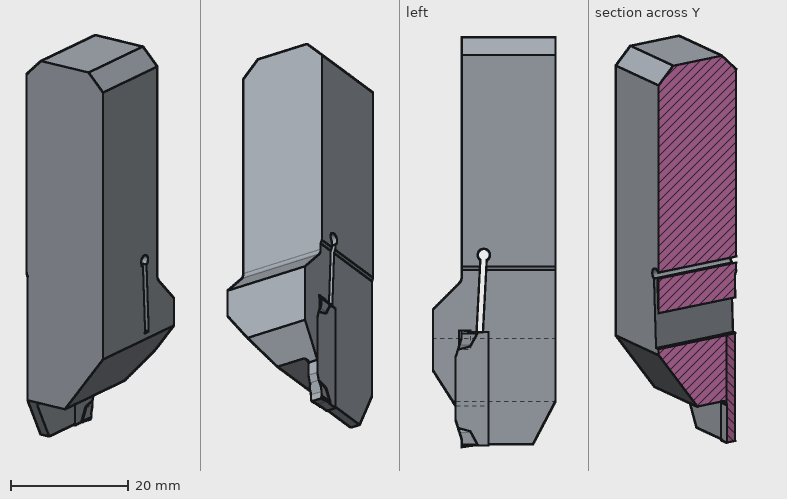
import cadquery as cq
import math

TOTAL_HEIGHT = 70.0
SHANK_SIZE = 16.0
TOP_CHAMFER = 3.0

HEAD_DEPTH = 20.9
SIDE_RELIEF = 0.2
RELIEF_TOP_Z = 30.9
RELIEF_RAMP_HEIGHT = 0.6
BULGE_TOP_Z = 23.5
BULGE_BOTTOM_Z = 13.1
BULGE_FILLET = 1.7
HEAD_BOTTOM_Z = 7.85
HEAD_BOTTOM_WIDTH = 8.05
BEVEL_TOP_Z = 18.55

BLADE_X = 2.0
BLADE_BOTTOM_Z = 0.5
BLADE_TOE_Y = 3.85
BLADE_FILLET = 0.8

SLIT_WIDTH = 1.05
SLIT_TILT = 3.0
SLIT_HOLE_DIAMETER = 2.0
SLIT_HOLE_Y = 12.25
SLIT_HOLE_Z = 32.8

INSERT_LENGTH = 19.95
INSERT_SEAT_Y = 11.4
INSERT_BACK_Y = 17.1
TIP_Y = 16.0
FLANK_START_Y = 14.15
END_INSET = 0.3
RAKE_HEIGHT = 1.3
RAKE_CORNER_Y = 16.65
RAKE_CORNER_Z = 3.3
BACK_CORNER_Z = 4.6
PAD_CORNER_Y = 14.55
PAD_CORNER_Z = 2.7
PAD_START_Y = 13.2
PAD_WIDENING = SIDE_RELIEF
PAD_SIDE_RELIEF = 0.035
PAD_RAMP_START_Z = 2.5
PAD_RAMP_HEIGHT = 0.8
TIP_BEVEL_HEIGHT = 0.5
TIP_GAP_Y = 16.45


def side_prism(points, x_start, x_end):
    """Prism along X with its outline given as (Y, Z) points."""
    outline = cq.Workplane("YZ", origin=(x_start, 0, 0)).polyline(points).close()
    return outline.extrude(x_end - x_start)


def front_prism(points, depth):
    """Prism along +Y from Y = 0 with its outline given as (X, Z) points."""
    return cq.Workplane("XZ").polyline(points).close().extrude(-depth)


def mirror_height(points):
    """Mirror (Y, Z) points about the insert's middle height."""
    return [(y, INSERT_LENGTH - z) for y, z in points]


def bulge_edge_y(z):
    """Y on the slanted lower edge of the bulge, which runs down to the insert's back."""
    lower_z = HEAD_BOTTOM_Z - BLADE_FILLET
    fraction = (z - lower_z) / (BULGE_BOTTOM_Z - lower_z)
    return INSERT_BACK_Y + fraction * (HEAD_DEPTH - INSERT_BACK_Y)


def make_block():
    """Shank and head: intersection of the front outline and the side outline."""
    front = front_prism(
        [
            (SIDE_RELIEF, HEAD_BOTTOM_Z),
            (HEAD_BOTTOM_WIDTH, HEAD_BOTTOM_Z),
            (SHANK_SIZE, BEVEL_TOP_Z),
            (SHANK_SIZE, TOTAL_HEIGHT - TOP_CHAMFER),
            (SHANK_SIZE - TOP_CHAMFER, TOTAL_HEIGHT),
            (TOP_CHAMFER, TOTAL_HEIGHT),
            (0, TOTAL_HEIGHT - TOP_CHAMFER),
            (0, RELIEF_TOP_Z),
            (SIDE_RELIEF, RELIEF_TOP_Z - RELIEF_RAMP_HEIGHT),
        ],
        HEAD_DEPTH,
    )
    run_out_y = bulge_edge_y(HEAD_BOTTOM_Z)
    shoulder_z = BULGE_TOP_Z + HEAD_DEPTH - SHANK_SIZE
    side = side_prism(
        [
            (0, HEAD_BOTTOM_Z),
            (run_out_y, HEAD_BOTTOM_Z),
            (HEAD_DEPTH, BULGE_BOTTOM_Z),
            (HEAD_DEPTH, BULGE_TOP_Z),
            (SHANK_SIZE, shoulder_z),
            (SHANK_SIZE, TOTAL_HEIGHT),
            (0, TOTAL_HEIGHT),
        ],
        0,
        SHANK_SIZE,
    )
    shoulder = cq.selectors.NearestToPointSelector((SHANK_SIZE / 2, SHANK_SIZE, shoulder_z))
    return front.intersect(side.edges(shoulder).fillet(BULGE_FILLET))


def make_blade():
    """Thin blade below the head, with a fillet where its +X face meets the head."""
    fillet_end_x = BLADE_X + BLADE_FILLET
    fillet_end_z = HEAD_BOTTOM_Z - BLADE_FILLET
    blade = side_prism(
        [
            (0, HEAD_BOTTOM_Z),
            (BLADE_TOE_Y, BLADE_BOTTOM_Z),
            (INSERT_SEAT_Y, BLADE_BOTTOM_Z),
            (INSERT_SEAT_Y, fillet_end_z),
            (INSERT_BACK_Y, fillet_end_z),
            (bulge_edge_y(HEAD_BOTTOM_Z), HEAD_BOTTOM_Z),
        ],
        SIDE_RELIEF,
        fillet_end_x,
    )
    trim = (
        cq.Workplane("XZ")
        .moveTo(fillet_end_x, HEAD_BOTTOM_Z)
        .radiusArc((BLADE_X, fillet_end_z), -BLADE_FILLET)
        .lineTo(BLADE_X, 0)
        .lineTo(fillet_end_x, 0)
        .close()
        .extrude(-HEAD_DEPTH)
    )
    return blade.cut(trim)


def make_slit():
    """Tilted slit from the relief hole down into the insert pocket, through along X."""
    hole = (
        cq.Workplane("YZ")
        .center(SLIT_HOLE_Y, SLIT_HOLE_Z)
        .circle(SLIT_HOLE_DIAMETER / 2)
        .extrude(SHANK_SIZE)
    )
    slit_length = (SLIT_HOLE_Z - INSERT_LENGTH + END_INSET) / math.cos(math.radians(SLIT_TILT))
    slot = (
        cq.Workplane("YZ", origin=(0, SLIT_HOLE_Y, SLIT_HOLE_Z))
        .transformed(rotate=(0, 0, SLIT_TILT))
        .center(0, -slit_length / 2)
        .rect(SLIT_WIDTH, slit_length)
        .extrude(SHANK_SIZE)
    )
    return hole.union(slot)


def make_tip_clearance():
    """Space in the holder behind the rake face of the upper cutting end."""
    points = [
        (PAD_CORNER_Y, RAKE_CORNER_Z),
        (TIP_GAP_Y, RAKE_CORNER_Z),
        (TIP_GAP_Y, 0),
        (PAD_CORNER_Y, 0),
    ]
    return side_prism(mirror_height(points), 0, BLADE_X + PAD_WIDENING)


def make_cutting_end():
    """Widened lower cutting end of the insert, ramping down to the body's sides."""
    end = side_prism(
        [
            (PAD_START_Y, END_INSET),
            (FLANK_START_Y, END_INSET),
            (TIP_Y, 0),
            (TIP_Y, RAKE_HEIGHT),
            (RAKE_CORNER_Y, RAKE_CORNER_Z),
            (PAD_CORNER_Y, PAD_CORNER_Z),
        ],
        SIDE_RELIEF - PAD_WIDENING,
        BLADE_X + PAD_WIDENING,
    )
    ramp_end_z = PAD_RAMP_START_Z + PAD_RAMP_HEIGHT
    relieved_widening = PAD_WIDENING - PAD_SIDE_RELIEF
    tapered_sides = front_prism(
        [
            (SIDE_RELIEF, 0),
            (BLADE_X, 0),
            (BLADE_X + PAD_WIDENING, TIP_BEVEL_HEIGHT),
            (BLADE_X + relieved_widening, PAD_RAMP_START_Z),
            (BLADE_X, ramp_end_z),
            (SIDE_RELIEF, ramp_end_z),
            (SIDE_RELIEF - relieved_widening, PAD_RAMP_START_Z),
            (SIDE_RELIEF - PAD_WIDENING, TIP_BEVEL_HEIGHT),
        ],
        HEAD_DEPTH,
    )
    return end.intersect(tapered_sides)


def make_insert():
    """Double-ended cutting insert."""
    lower_end = [
        (INSERT_SEAT_Y, END_INSET),
        (FLANK_START_Y, END_INSET),
        (TIP_Y, 0),
        (TIP_Y, RAKE_HEIGHT),
        (RAKE_CORNER_Y, RAKE_CORNER_Z),
        (INSERT_BACK_Y, BACK_CORNER_Z),
    ]
    body = side_prism(lower_end + mirror_height(lower_end)[::-1], SIDE_RELIEF, BLADE_X)
    lower_cutting_end = make_cutting_end()
    upper_cutting_end = lower_cutting_end.mirror("XY", (0, 0, INSERT_LENGTH / 2))
    return body.union(lower_cutting_end).union(upper_cutting_end)


def make_holder(insert):
    """Shank, head and blade in one piece, with the slit and the matching insert pocket."""
    holder = make_block().union(make_blade())
    return holder.cut(make_slit()).cut(make_tip_clearance()).cut(insert)


insert = make_insert()
holder = make_holder(insert)

result = cq.Compound.makeCompound([holder.solids().val(), insert.solids().val()])